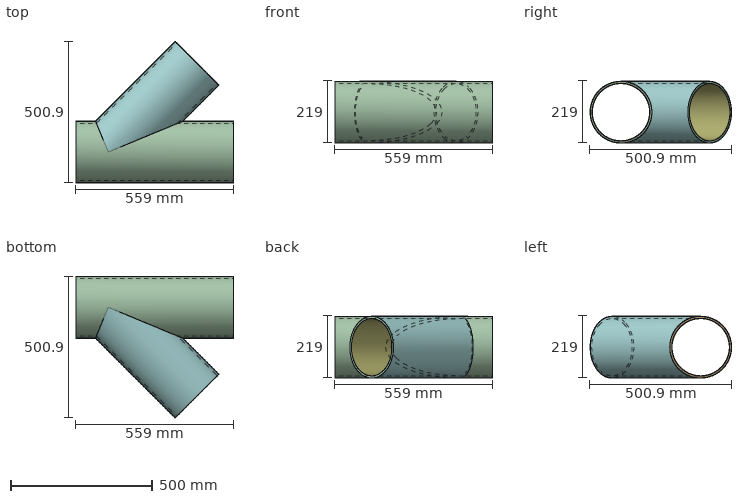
import cadquery as cq

outer_diameter = 219.0
bore_diameter = 203.0

main_length = 559.0

branch_start = 114.5
branch_length = 444.0
branch_direction = (1, 1, 0)


def main_cylinder(diameter):
    """Solid cylinder along the main pipe."""
    return cq.Workplane("YZ").circle(diameter / 2).extrude(main_length)


def branch_cylinder(diameter):
    """Solid cylinder along the branch, from the main axis to the open end."""
    plane = cq.Plane(origin=(branch_start, 0, 0), xDir=(0, 0, 1), normal=branch_direction)
    return cq.Workplane(plane).circle(diameter / 2).extrude(branch_length)


def wye(diameter):
    """Main and branch cylinders joined at one diameter."""
    return main_cylinder(diameter).union(branch_cylinder(diameter))


result = wye(outer_diameter).cut(wye(bore_diameter))